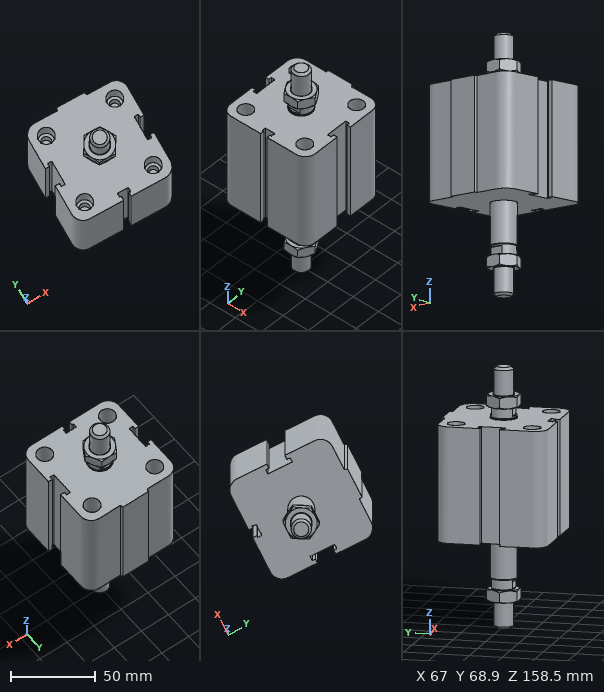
import cadquery as cq
import math

rod_length = 158.5
housing_bottom = 56.6
housing_height = 70.7

housing_side = 67.0
corner_radius = 8.0
half_side = housing_side / 2
rail_height = 1.9
rail_base_width = 20.0
rail_top_width = 19.0

slot_depth = 5.5
lip_thickness = 2.9
side_mouth_width = 11.9
side_inner_width = 16.2
front_mouth_width = 5.0
front_inner_width = 7.3

hole_pitch = 46.5
hole_diameter = 6.7
hole_depth = 23.8
counterbore_diameter = 10.5
counterbore_depth = 14.7

rod_diameter = 16.0
thread_diameter = 12.0
thread_length = 24.1
thread_chamfer = 1.6
neck_diameter = 15.7
neck_length = 6.2
neck_chamfer = 0.5
wrench_flat_width = 12.8
wrench_flat_length = 5.2

nut_width = 18.9
nut_height = 7.3
nut_corner_diameter = nut_width / math.cos(math.radians(30))
nut_chamfer_angle = 30.0
nut_countersink = 0.5


def t_slot(mouth_width, inner_width):
    """T-slot cutter through the housing height, opening on the -Y side."""
    lip_y = -half_side + lip_thickness
    mouth = cq.Workplane("XY").box(
        mouth_width, lip_thickness, housing_height, centered=(True, False, False)
    ).translate((0, -half_side, housing_bottom))
    inner = cq.Workplane("XY").box(
        inner_width, slot_depth - lip_thickness, housing_height, centered=(True, False, False)
    ).translate((0, lip_y, housing_bottom))
    return mouth.union(inner)


def make_housing():
    base = cq.Workplane("XY").workplane(offset=housing_bottom)
    block = base.rect(housing_side, housing_side).extrude(housing_height)
    block = block.edges("|Z").fillet(corner_radius)

    rail = (
        base.moveTo(-rail_base_width / 2, half_side)
        .lineTo(-rail_top_width / 2, half_side + rail_height)
        .lineTo(rail_top_width / 2, half_side + rail_height)
        .lineTo(rail_base_width / 2, half_side)
        .close()
        .extrude(housing_height)
    )
    block = block.union(rail)

    block = block.cut(t_slot(front_mouth_width, front_inner_width))
    for angle in (-90, 90):
        side_slot = t_slot(side_mouth_width, side_inner_width)
        block = block.cut(side_slot.rotate((0, 0, 0), (0, 0, 1), angle))

    block = (
        block.faces(">Z").workplane(origin=(0, 0, 0))
        .rect(hole_pitch, hole_pitch, forConstruction=True).vertices()
        .cboreHole(hole_diameter, counterbore_diameter, counterbore_depth, hole_depth)
    )

    bore = base.circle(rod_diameter / 2).extrude(housing_height)
    return block.cut(bore)


def make_rod():
    thread_radius = thread_diameter / 2
    neck_radius = neck_diameter / 2
    rod_radius = rod_diameter / 2
    neck_end = thread_length + neck_length
    half_rod = (
        cq.Workplane("XZ")
        .lineTo(thread_radius - thread_chamfer, 0)
        .lineTo(thread_radius, thread_chamfer)
        .lineTo(thread_radius, thread_length)
        .lineTo(neck_radius - neck_chamfer, thread_length)
        .lineTo(neck_radius, thread_length + neck_chamfer)
        .lineTo(neck_radius, neck_end)
        .lineTo(rod_radius, neck_end + neck_chamfer)
        .lineTo(rod_radius, rod_length / 2)
        .lineTo(0, rod_length / 2)
        .close()
        .revolve(360, (0, 0, 0), (0, 1, 0))
    )
    rod = half_rod.union(half_rod.mirror("XY", (0, 0, rod_length / 2)))

    flat_depth = (rod_diameter - wrench_flat_width) / 2
    flat_y = (wrench_flat_width + flat_depth) / 2
    flat_z = thread_length + wrench_flat_length / 2
    for y in (-flat_y, flat_y):
        for z in (flat_z, rod_length - flat_z):
            flat = cq.Workplane("XY").box(rod_diameter, flat_depth, wrench_flat_length)
            rod = rod.cut(flat.translate((0, y, z)))

    return rod


def make_nut(bottom):
    base = cq.Workplane("XY").workplane(offset=bottom)
    hexagon = base.polygon(6, nut_corner_diameter).extrude(nut_height)

    tip_radius = nut_corner_diameter / 2
    face_radius = nut_width / 2
    cone_height = (tip_radius - face_radius) * math.tan(math.radians(nut_chamfer_angle))
    turned = (
        cq.Workplane("XZ")
        .moveTo(0, bottom)
        .lineTo(face_radius, bottom)
        .lineTo(tip_radius, bottom + cone_height)
        .lineTo(tip_radius, bottom + nut_height - cone_height)
        .lineTo(face_radius, bottom + nut_height)
        .lineTo(0, bottom + nut_height)
        .close()
        .revolve(360, (0, 0, 0), (0, 1, 0))
    )
    nut = hexagon.intersect(turned)

    nut = nut.cut(base.circle(thread_diameter / 2).extrude(nut_height))
    return nut.edges(cq.selectors.RadiusNthSelector(0)).chamfer(nut_countersink)


housing = make_housing()
rod = make_rod()
nut_bottoms = (thread_length - nut_height, rod_length - thread_length)
nuts = [make_nut(bottom) for bottom in nut_bottoms]

result = cq.Compound.makeCompound([housing.val(), rod.val(), *[nut.val() for nut in nuts]])